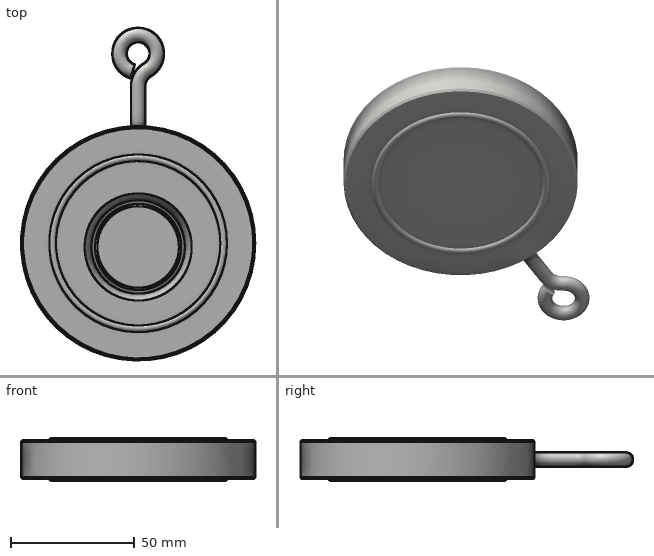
import cadquery as cq
import math

overall_height = 17.5
body_diameter = 95.0
rim_chamfer = 0.8

bead_height = 0.8
bead_outer_diameter = 72.1
bead_inner_diameter = 66.7

recess_offset_y = -1.5
recess_mouth_diameter = 43.5
recess_floor_diameter = 37.9
recess_depth = 6.0
disc_diameter = 35.0
disc_chamfer = 1.0
disc_top_depth = 3.6

overall_length = 135.0
rod_diameter = 6.0
eye_bend_radius = 7.5
bend_angle = 60.0
eye_end_angle = 253.0
rod_embedment = 4.0

body_height = overall_height - 2 * bead_height
body_radius = body_diameter / 2
body_top = body_height / 2
recess_floor = body_top - recess_depth


def make_body():
    body = cq.Workplane("XY", origin=(0, 0, -body_top)).circle(body_radius).extrude(body_height)
    return body.faces("|Z").edges().chamfer(rim_chamfer)


def make_bead():
    """Upper bead: a circular-arc crest revolved about Z, with its foot sunk into the body."""
    inner = bead_inner_diameter / 2
    outer = bead_outer_diameter / 2
    foot = body_top - bead_height
    profile = (
        cq.Workplane("XZ")
        .moveTo(inner, foot)
        .lineTo(inner, body_top)
        .threePointArc(((inner + outer) / 2, body_top + bead_height), (outer, body_top))
        .lineTo(outer, foot)
        .close()
    )
    return profile.revolve(360, (0, 0, 0), (0, 1, 0))


def make_recess():
    return (
        cq.Workplane("XY", origin=(0, recess_offset_y, recess_floor))
        .circle(recess_floor_diameter / 2)
        .workplane(offset=recess_depth)
        .circle(recess_mouth_diameter / 2)
        .loft(ruled=True)
    )


def make_disc():
    disc = (
        cq.Workplane("XY", origin=(0, recess_offset_y, recess_floor))
        .circle(disc_diameter / 2)
        .extrude(recess_depth - disc_top_depth)
    )
    return disc.faces(">Z").edges().chamfer(disc_chamfer)


def make_lifting_eye():
    """Straight shank, a bend to the right, then a loop turned the other way."""
    eye_y = overall_length - body_radius - eye_bend_radius - rod_diameter / 2
    bend = math.radians(bend_angle)
    bend_start_y = eye_y - 2 * eye_bend_radius * math.sin(bend)
    shank_start_y = body_radius - rod_embedment

    def bend_point(angle):
        return (
            eye_bend_radius * (1 - math.cos(angle)),
            bend_start_y + eye_bend_radius * math.sin(angle),
        )

    def eye_point(degrees):
        angle = math.radians(degrees)
        return (eye_bend_radius * math.cos(angle), eye_y + eye_bend_radius * math.sin(angle))

    def sweep_rod(path, start_y):
        section = cq.Workplane("XZ", origin=(0, start_y, 0)).circle(rod_diameter / 2)
        return section.sweep(path)

    shank = (
        cq.Workplane("XZ", origin=(0, shank_start_y, 0))
        .circle(rod_diameter / 2)
        .extrude(shank_start_y - bend_start_y)
    )
    eye_start_angle = -bend_angle
    eye_middle_angle = (eye_start_angle + eye_end_angle) / 2
    curved_path = (
        cq.Workplane("XY")
        .moveTo(0, bend_start_y)
        .threePointArc(bend_point(bend / 2), bend_point(bend))
        .threePointArc(eye_point(eye_middle_angle), eye_point(eye_end_angle))
    )
    return shank.union(sweep_rod(curved_path, bend_start_y))


upper_bead = make_bead()
lower_bead = upper_bead.mirror("XY")

result = (
    make_body()
    .union(upper_bead)
    .union(lower_bead)
    .cut(make_recess())
    .union(make_disc())
    .union(make_lifting_eye())
)